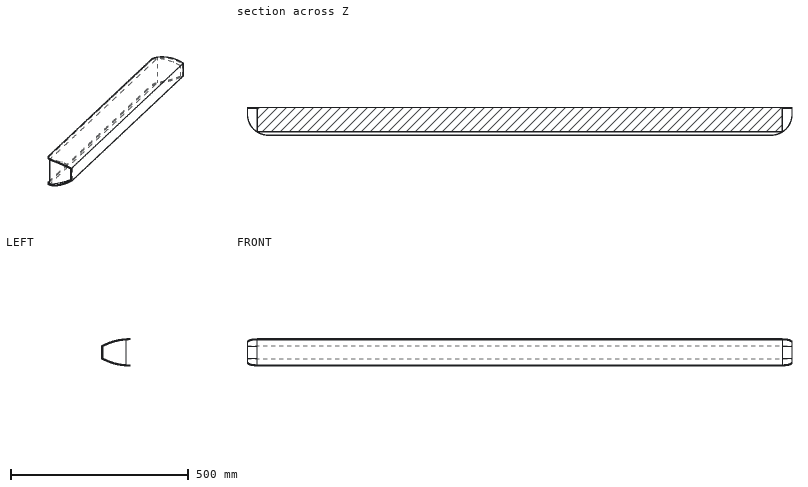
import cadquery as cq
import math

length = 1534.0
depth = 79.06
height = 77.0

back_height = 37.0
wall = 3.0

corner_radius = 60.0

core_end_inset = 28.0
core_front_recess = 10.0

y_front = -depth / 2
y_back = depth / 2

side_drop = (height - back_height) / 2
side_radius = (depth**2 + side_drop**2) / (2 * side_drop)
side_center_z = height / 2 - side_radius


def side_half_height(y, inset):
    """Half height of the section at y, with the side arc moved inward by inset."""
    radius = side_radius - inset
    return side_center_z + math.sqrt(radius**2 - (y - y_front) ** 2)


def section_prism(y_start, y_end, inset, prism_length):
    """Prism along X between two arc sides, closed by flat faces at y_start and y_end."""
    y_middle = (y_start + y_end) / 2
    half_start = side_half_height(y_start, inset)
    half_middle = side_half_height(y_middle, inset)
    half_end = side_half_height(y_end, inset)
    return (
        cq.Workplane("YZ")
        .moveTo(y_start, -half_start)
        .threePointArc((y_middle, -half_middle), (y_end, -half_end))
        .lineTo(y_end, half_end)
        .threePointArc((y_middle, half_middle), (y_start, half_start))
        .close()
        .extrude(prism_length / 2, both=True)
    )


def plan_envelope():
    """Plan outline with rounded front corners, taller than the part for a clean cut."""
    return (
        cq.Workplane("XY")
        .box(length, depth, 2 * height)
        .edges("|Z and <Y")
        .fillet(corner_radius)
    )


def channel():
    """Thin-walled channel, open at the front and at both ends."""
    outside = section_prism(y_front, y_back, 0, length)
    inside = section_prism(y_front, y_back - wall, wall, length)
    return outside.cut(inside).intersect(plan_envelope())


def core():
    """Filling of the channel, set back from its front edge and from its ends."""
    core_length = length - 2 * core_end_inset
    return section_prism(y_front + core_front_recess, y_back - wall, wall, core_length)


result = channel().union(core())